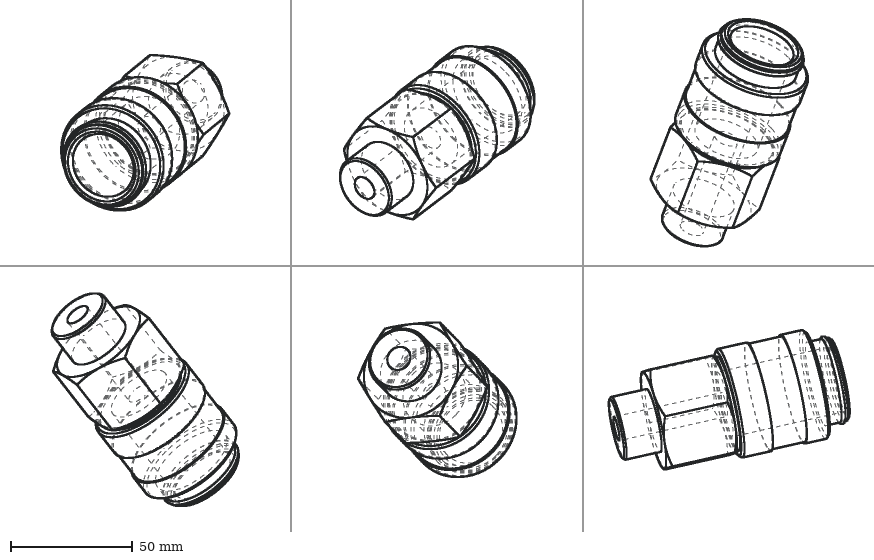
import cadquery as cq
import math

total_length = 95
ring_center = 2.9
sleeve_start = 9.9
groove_start = 19.95
groove_end = 34.4
sleeve_end = 47.6
hex_start = 49.0
hex_end = 79.2
bore_depth = hex_start

neck_radius = 17.7
ring_section_radius = 0.9
sleeve_radius = 23.0
groove_radius = 22.3
collar_radius = 19.95
spigot_radius = 13.3
bore_radius = 13.7
passage_radius = 5.0

hex_across_corners = 47.3
hex_chamfer_angle = 30
edge_chamfer = 1.0
spigot_chamfer = 0.9
bore_chamfer = 1.5


def cylinder(radius, start, end):
    """Solid cylinder along the Y axis between two stations."""
    plane = cq.Workplane("XZ", origin=(0, start, 0))
    return plane.circle(radius).extrude(start - end)


def make_neck():
    neck = cylinder(neck_radius, 0, sleeve_start)
    neck = neck.faces("<Y").chamfer(edge_chamfer)
    ring = (
        cq.Workplane("XY")
        .center(neck_radius, ring_center)
        .circle(ring_section_radius)
        .revolve(360, (-neck_radius, 0), (-neck_radius, 1))
    )
    return neck.union(ring)


def make_sleeve():
    front_band = cylinder(sleeve_radius, sleeve_start, groove_start)
    front_band = front_band.faces("<Y").chamfer(edge_chamfer)
    grip = cylinder(groove_radius, groove_start, groove_end)
    rear_band = cylinder(sleeve_radius, groove_end, sleeve_end)
    rear_band = rear_band.faces(">Y").chamfer(edge_chamfer)
    return front_band.union(grip).union(rear_band)


def make_hexagon():
    """Hexagon with corners on X, its ends turned down to the inscribed circle."""
    corner_radius = hex_across_corners / 2
    flat_radius = corner_radius * math.cos(math.radians(30))
    slope = math.tan(math.radians(hex_chamfer_angle))
    chamfer_length = (corner_radius - flat_radius) * slope
    prism = (
        cq.Workplane("XZ", origin=(0, hex_start, 0))
        .polygon(6, hex_across_corners)
        .extrude(hex_start - hex_end)
    )
    turned_blank = (
        cq.Workplane("XY")
        .moveTo(0, hex_start)
        .lineTo(flat_radius, hex_start)
        .lineTo(corner_radius, hex_start + chamfer_length)
        .lineTo(corner_radius, hex_end - chamfer_length)
        .lineTo(flat_radius, hex_end)
        .lineTo(0, hex_end)
        .close()
        .revolve(360, (0, 0), (0, 1))
    )
    return prism.intersect(turned_blank)


def make_bore():
    """Socket bore with a flared mouth, followed by the through passage."""
    bore = cylinder(bore_radius, 0, bore_depth)
    mouth = (
        cq.Workplane("XY")
        .lineTo(bore_radius + bore_chamfer, 0)
        .lineTo(bore_radius, bore_chamfer)
        .lineTo(0, bore_chamfer)
        .close()
        .revolve(360, (0, 0), (0, 1))
    )
    passage = cylinder(passage_radius, 0, total_length)
    return bore.union(mouth).union(passage)


collar = cylinder(collar_radius, sleeve_end, hex_start)
spigot = cylinder(spigot_radius, hex_end, total_length)
spigot = spigot.faces(">Y").chamfer(spigot_chamfer)

body = make_neck().union(make_sleeve()).union(collar)
body = body.union(make_hexagon()).union(spigot)
result = body.cut(make_bore())